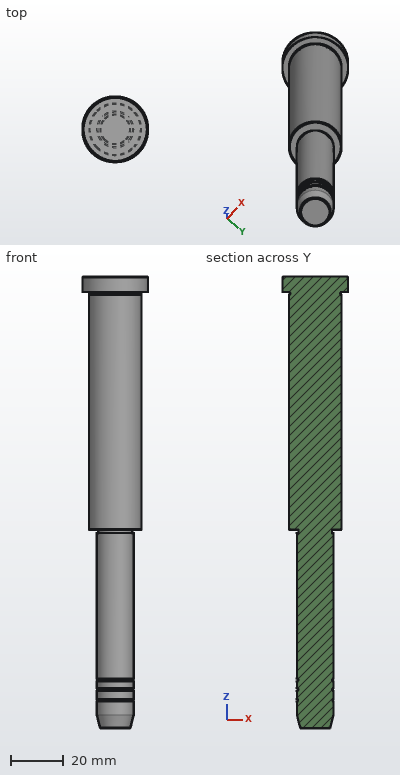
import cadquery as cq

total_length = 171.0
head_diameter = 25.0
head_height = 6.0
head_chamfer = 0.5
body_diameter = 20.0
body_length = 90.0
body_chamfer = 0.3
shaft_diameter = 14.0

tip_height = 5.1
tip_diameter = 11.5
tip_chamfer = 0.3

relief_depth = 0.5
relief_width = 1.2

groove_depth = 0.5
groove_heights = (10.6, 14.7, 18.3)

head_bottom = total_length - head_height
body_bottom = head_bottom - body_length


def cylinder(diameter, bottom, height):
    return cq.Workplane("XY").workplane(offset=bottom).circle(diameter / 2).extrude(height)


def ring_cut(diameter, depth, bottom, width):
    """Ring that removes the given depth from a cylinder of the given diameter."""
    return cylinder(diameter, bottom, width).cut(cylinder(diameter - 2 * depth, bottom, width))


def v_groove(diameter, height):
    """Ring of diamond section centred on a cylinder's surface at the given height."""
    return (
        cq.Workplane("XZ")
        .center(diameter / 2, height)
        .polygon(4, 2 * groove_depth)
        .revolve(360, (-diameter / 2, 0), (-diameter / 2, 1))
    )


def tapered_tip():
    tip = (
        cq.Workplane("XY")
        .circle(tip_diameter / 2)
        .workplane(offset=tip_height)
        .circle(shaft_diameter / 2)
        .loft(ruled=True)
    )
    return tip.faces("<Z").chamfer(tip_chamfer)


head = cylinder(head_diameter, head_bottom, head_height).faces(">Z").chamfer(head_chamfer)

body = cylinder(body_diameter, body_bottom, body_length).faces("<Z").chamfer(body_chamfer)
body = body.cut(v_groove(body_diameter, head_bottom - groove_depth))

shaft = cylinder(shaft_diameter, tip_height, body_bottom - tip_height)
relief_bottom = body_bottom - relief_width
shaft = shaft.cut(ring_cut(shaft_diameter, relief_depth, relief_bottom, relief_width))
for height in groove_heights:
    shaft = shaft.cut(v_groove(shaft_diameter, height))

result = head.union(body).union(shaft).union(tapered_tip())